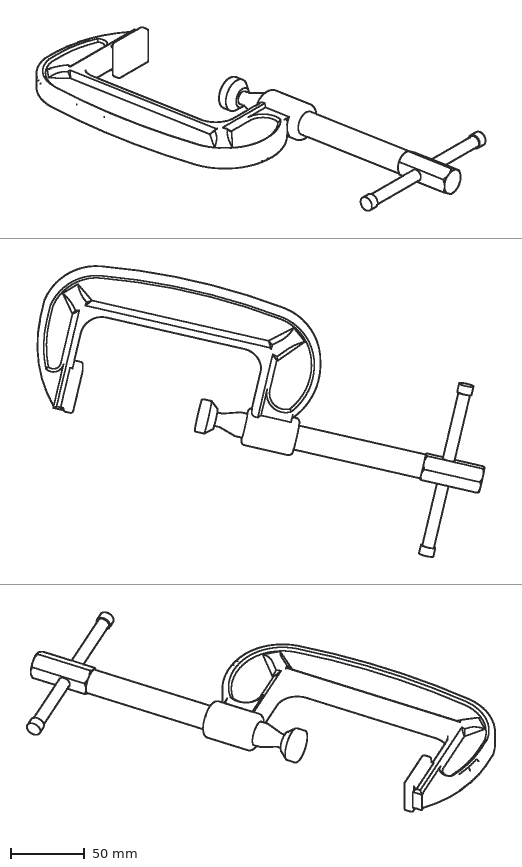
import cadquery as cq
import math

OVERALL_LENGTH = 317.8

PLATE_HALF = 7.3
RAIL_HEIGHT = 2.0
RAIL_HALF = PLATE_HALF + RAIL_HEIGHT
PLATE_ROUND = 2.05
RAIL_ROUND = 3.02
RAIL_DRAFT = 45
RAIL_FOOT = 6.7
RAIL_FOOT_BACK = 7.3
RAIL_CORNER = 3.8
JAW_X = 29.0
SCREW_ARM_X = 154.5
BACK_Y = -52.8
OPENING_CORNER = 14.5
OUTLINE_BOTTOM = -89.0
TANGENT_Y = -41.0
FRAME_TOP = 16.2
FOOT_LEFT = JAW_X - RAIL_FOOT
FOOT_RIGHT = SCREW_ARM_X + RAIL_FOOT
FOOT_BOTTOM = BACK_Y - RAIL_FOOT_BACK

RIM_WIDTH = 4.3
POCKET_DEPTH = 1.5
POCKET_DRAFT = 50
FIXED_ARM_POCKET_RADIUS = 7.0
FIXED_ARM_POCKET_TOP = -8.0
SCREW_ARM_POCKET_RADIUS = 13.0
SCREW_ARM_POCKET_TOP = -16.2

BRIDGE_DRAFT = 42
BRIDGE_LENGTH = 12.7

PAD_THICKNESS = 7.0
PAD_LENGTH = 32.0
PAD_HALF_WIDTH = 13.0
PAD_ROUND = 2.0

BOSS_RADIUS = 13.0
BOSS_START = 152.2
BOSS_LENGTH = 36.0
BOSS_ROUND = 3.02

SWIVEL_START = 119.8
SWIVEL_RADIUS = 11.5
SWIVEL_RIM = 6.7
SWIVEL_LENGTH = 12.0
SWIVEL_NECK_RADIUS = 7.0
SWIVEL_ROUND = 1.0

SCREW_RADIUS = 8.42
NECK_RADIUS = 4.8
NECK_START = SWIVEL_START + SWIVEL_LENGTH
CONE_START = 135.7
CONE_END = 147.5
HEX_START = 276.5
HEX_FLATS = 17.2
HEX_CORNERS = HEX_FLATS / math.cos(math.radians(30))
HEX_CHAMFER = 1.3

HANDLE_X = 292.7
HANDLE_RADIUS = 4.0
HANDLE_LENGTH = 120.8
HANDLE_MID_Y = -1.3
CAP_RADIUS = 5.0
CAP_LENGTH = 6.0


def both_faces(upper):
    """Add the mirror image of an upper-face feature on the lower face."""
    return upper.union(upper.mirror("XY"))


def frame_outline():
    """Outer outline of the frame, with the opening still filled."""
    return (
        cq.Workplane("XY")
        .moveTo(FOOT_LEFT, FRAME_TOP)
        .lineTo(FOOT_LEFT, 15.3)
        .threePointArc((6.5, -9.5), (0, TANGENT_Y))
        .lineTo(0, -52.8)
        .threePointArc((10.2, -73.0), (32.5, -84.5))
        .threePointArc((96.3, OUTLINE_BOTTOM), (160.2, -84.5))
        .threePointArc((182.5, -73.0), (191.5, -58.0))
        .threePointArc((192.3, -31.5), (182.0, -13.0))
        .lineTo(182.0, 0)
        .lineTo(SCREW_ARM_X, 0)
        .lineTo(SCREW_ARM_X, FRAME_TOP)
        .close()
    )


def opening():
    """Prism that clears the throat of the clamp."""
    top = 2 * FRAME_TOP
    return (
        cq.Workplane("XY")
        .center((JAW_X + SCREW_ARM_X) / 2, (BACK_Y + top) / 2)
        .rect(SCREW_ARM_X - JAW_X, top - BACK_Y)
        .extrude(2 * RAIL_HALF, both=True)
        .edges("|Z and <Y")
        .fillet(OPENING_CORNER)
    )


def plate():
    body = frame_outline().extrude(PLATE_HALF, both=True)
    outer_edges = body.faces("<Z or >Z").edges("%CIRCLE")
    return outer_edges.fillet(PLATE_ROUND)


def rail_foot_corners():
    """Outer corners of the rail foot, from the screw arm round the back to the fixed arm."""
    return [
        (FOOT_RIGHT, FOOT_BOTTOM + RAIL_CORNER),
        (FOOT_RIGHT - RAIL_CORNER, FOOT_BOTTOM),
        (FOOT_LEFT + RAIL_CORNER, FOOT_BOTTOM),
        (FOOT_LEFT, FOOT_BOTTOM + RAIL_CORNER),
    ]


def rail():
    """Raised border with sloped sides; its middle is cleared later by the opening."""
    step_x = SCREW_ARM_X - RAIL_FOOT
    end_y = -BOSS_RADIUS / 2
    upper = (
        cq.Workplane("XY", origin=(0, 0, PLATE_HALF))
        .polyline([
            (FOOT_LEFT, FRAME_TOP),
            (step_x, FRAME_TOP),
            (step_x, end_y),
            (FOOT_RIGHT, end_y),
            *rail_foot_corners(),
        ])
        .close()
        .extrude(RAIL_HEIGHT, taper=RAIL_DRAFT)
    )
    return both_faces(upper)


def round_throat(frame):
    """Round the edges where the opening meets the rail faces."""
    margin = 0.3
    throat = cq.selectors.BoxSelector(
        (JAW_X - margin, BACK_Y - margin, -2 * RAIL_HALF),
        (SCREW_ARM_X + margin, FRAME_TOP, 2 * RAIL_HALF),
        boundingbox=True,
    )
    return frame.faces("<Z or >Z").edges(throat).fillet(RAIL_ROUND)


def bridge(start, angle, footprint):
    """Rib that starts level with the rail and curves down to the pocket floor.

    start: end of the level part; angle: direction of the fall in the XY plane;
    footprint: its foot, on the pocket floor.
    """
    fall = RAIL_HEIGHT + POCKET_DEPTH
    foot = (
        cq.Workplane("XY", origin=(0, 0, PLATE_HALF - POCKET_DEPTH))
        .polyline(footprint)
        .close()
        .extrude(fall, taper=BRIDGE_DRAFT)
    )
    fall_radius = (BRIDGE_LENGTH**2 + fall**2) / (2 * fall)
    half_turn = math.asin(BRIDGE_LENGTH / fall_radius) / 2
    middle = (
        fall_radius * math.sin(half_turn),
        RAIL_HALF - fall_radius * (1 - math.cos(half_turn)),
    )
    direction = cq.Vector(math.cos(math.radians(angle)), math.sin(math.radians(angle)), 0)
    across = cq.Plane(origin=(*start, 0), xDir=direction, normal=direction.cross(cq.Vector(0, 0, 1)))
    side_profile = (
        cq.Workplane(across)
        .moveTo(-BRIDGE_LENGTH, 0)
        .lineTo(-BRIDGE_LENGTH, RAIL_HALF)
        .lineTo(0, RAIL_HALF)
        .threePointArc(middle, (BRIDGE_LENGTH, RAIL_HALF - fall))
        .lineTo(BRIDGE_LENGTH, 0)
        .close()
        .extrude(BRIDGE_LENGTH, both=True)
    )
    return both_faces(foot.intersect(side_profile))


def bridges():
    fixed_corner = bridge(
        (24.0, -58.0), -135,
        [(20.3, -50.0), (29.5, -52.0), (31.0, -62.0), (17.5, -72.0), (12.7, -70.0), (10.2, -63.0)],
    )
    screw_corner = bridge(
        (164.3, -62.3), -51,
        [(154.5, -62.0), (153.8, -52.0), (163.7, -50.0), (180.8, -69.3), (178.5, -75.0), (172.5, -77.5)],
    )
    return fixed_corner.union(screw_corner)


def pockets():
    """Sloped recess between the rail foot and an outer rim of even width, rounded at both ends."""
    basin = (
        frame_outline()
        .offset2D(-RIM_WIDTH)
        .extrude(-POCKET_DEPTH, taper=POCKET_DRAFT)
        .translate((0, 0, PLATE_HALF))
    )
    beyond = 3.2
    left = -beyond
    right = FOOT_RIGHT + 2 * SCREW_ARM_POCKET_RADIUS + beyond
    bottom = OUTLINE_BOTTOM - beyond
    fixed_end_y = FIXED_ARM_POCKET_TOP - FIXED_ARM_POCKET_RADIUS
    screw_end_y = SCREW_ARM_POCKET_TOP - SCREW_ARM_POCKET_RADIUS
    band = (
        cq.Workplane("XY", origin=(0, 0, PLATE_HALF))
        .moveTo(FOOT_LEFT, fixed_end_y)
        .threePointArc(
            (FOOT_LEFT - FIXED_ARM_POCKET_RADIUS, FIXED_ARM_POCKET_TOP),
            (FOOT_LEFT - 2 * FIXED_ARM_POCKET_RADIUS, fixed_end_y),
        )
        .lineTo(left, TANGENT_Y)
        .lineTo(left, bottom)
        .lineTo(right, bottom)
        .lineTo(right, TANGENT_Y)
        .lineTo(FOOT_RIGHT + 2 * SCREW_ARM_POCKET_RADIUS, screw_end_y)
        .threePointArc(
            (FOOT_RIGHT + SCREW_ARM_POCKET_RADIUS, SCREW_ARM_POCKET_TOP),
            (FOOT_RIGHT, screw_end_y),
        )
    )
    for corner in rail_foot_corners():
        band = band.lineTo(*corner)
    recess = basin.intersect(band.close().extrude(-POCKET_DEPTH, taper=POCKET_DRAFT))
    return both_faces(recess)


def fixed_pad():
    """Rounded jaw plate."""
    return (
        cq.Workplane("XY")
        .box(PAD_THICKNESS, PAD_LENGTH, 2 * PAD_HALF_WIDTH, centered=(False, False, True))
        .edges()
        .fillet(PAD_ROUND)
        .translate((JAW_X, FRAME_TOP - PAD_LENGTH, 0))
    )


def pad_blend():
    """Concave fillets between the rail faces and the back of the jaw pad."""
    top = PAD_HALF_WIDTH - PAD_ROUND
    radius = top - RAIL_HALF
    upper = (
        cq.Workplane("XZ", origin=(0, FRAME_TOP - PAD_ROUND, 0))
        .moveTo(JAW_X - radius, 0)
        .lineTo(JAW_X - radius, RAIL_HALF)
        .radiusArc((JAW_X, top), -radius)
        .lineTo(JAW_X + PAD_ROUND, top)
        .lineTo(JAW_X + PAD_ROUND, 0)
        .close()
        .extrude(PAD_LENGTH - 2 * PAD_ROUND)
    )
    return both_faces(upper)


def boss():
    return (
        cq.Workplane("YZ", origin=(BOSS_START, 0, 0))
        .circle(BOSS_RADIUS)
        .extrude(BOSS_LENGTH)
        .edges()
        .fillet(BOSS_ROUND)
    )


def make_frame():
    frame = plate().cut(pockets()).union(rail()).union(bridges()).cut(opening())
    frame = round_throat(frame).union(fixed_pad()).union(pad_blend()).union(boss())
    bore = cq.Workplane("YZ", origin=(BOSS_START, 0, 0)).circle(SCREW_RADIUS).extrude(2 * BOSS_LENGTH)
    return frame.cut(bore)


def make_swivel_pad():
    return (
        cq.Workplane("XY")
        .moveTo(SWIVEL_START, 0)
        .lineTo(SWIVEL_START, SWIVEL_RADIUS)
        .lineTo(SWIVEL_START + SWIVEL_RIM, SWIVEL_RADIUS)
        .lineTo(NECK_START, SWIVEL_NECK_RADIUS)
        .lineTo(NECK_START, 0)
        .close()
        .revolve(360, (0, 0, 0), (1, 0, 0))
        .edges("<X")
        .fillet(SWIVEL_ROUND)
    )


def hex_head():
    """Hexagon with corners up and down, its end corners turned off."""
    length = OVERALL_LENGTH - HEX_START
    turned = (
        cq.Workplane("YZ", origin=(HEX_START, 0, 0))
        .circle(HEX_CORNERS / 2)
        .extrude(length)
        .edges()
        .chamfer(HEX_CHAMFER)
    )
    hexagon = (
        cq.Workplane("YZ", origin=(HEX_START, 0, 0))
        .transformed(rotate=(0, 0, 90))
        .polygon(6, HEX_CORNERS)
        .extrude(length)
    )
    return hexagon.intersect(turned)


def make_screw():
    shank = (
        cq.Workplane("XY")
        .moveTo(NECK_START, 0)
        .lineTo(NECK_START, NECK_RADIUS)
        .lineTo(CONE_START, NECK_RADIUS)
        .lineTo(CONE_END, SCREW_RADIUS)
        .lineTo(HEX_START, SCREW_RADIUS)
        .lineTo(HEX_START, 0)
        .close()
        .revolve(360, (0, 0, 0), (1, 0, 0))
    )
    cross_hole = (
        cq.Workplane("XZ", origin=(HANDLE_X, 0, 0))
        .circle(HANDLE_RADIUS)
        .extrude(HEX_CORNERS, both=True)
    )
    return shank.union(hex_head()).cut(cross_hole)


def make_handle():
    half = HANDLE_LENGTH / 2
    return (
        cq.Workplane("XY")
        .polyline([
            (0, -half),
            (CAP_RADIUS, -half),
            (CAP_RADIUS, -half + CAP_LENGTH),
            (HANDLE_RADIUS, -half + CAP_LENGTH),
            (HANDLE_RADIUS, half - CAP_LENGTH),
            (CAP_RADIUS, half - CAP_LENGTH),
            (CAP_RADIUS, half),
            (0, half),
        ])
        .close()
        .revolve(360, (0, 0, 0), (0, 1, 0))
        .translate((HANDLE_X, HANDLE_MID_Y, 0))
    )


frame = make_frame()
swivel_pad = make_swivel_pad()
screw = make_screw()
handle = make_handle()

result = cq.Compound.makeCompound([frame.val(), swivel_pad.val(), screw.val(), handle.val()])